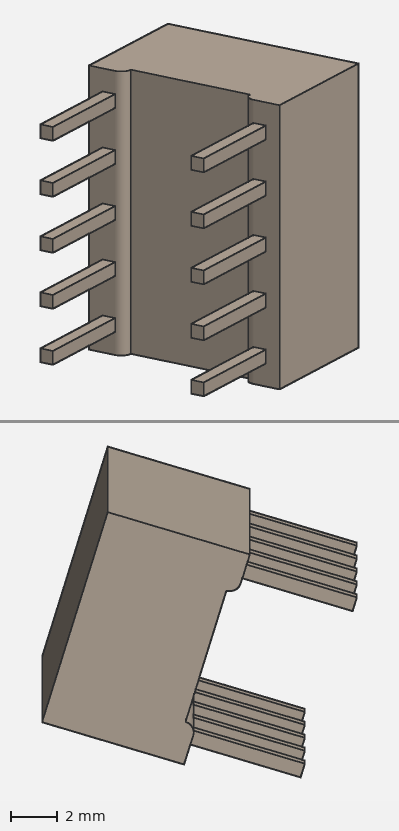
import cadquery as cq

BODY_WIDTH = 9.64
BODY_HEIGHT = 12.9
TOTAL_DEPTH = 11.36

PIN_SIZE = 0.63
PIN_LENGTH = 5.0
PIN_PITCH = 2.54
PINS_PER_ROW = 5
ROW_SPACING = 3 * PIN_PITCH

RECESS_DEPTH = 0.49

body_depth = TOTAL_DEPTH - PIN_LENGTH
half_width = BODY_WIDTH / 2
rail_round_start = (ROW_SPACING - PIN_SIZE) / 2
recess_half_width = rail_round_start - RECESS_DEPTH


def make_body():
    """Block with a shallow full-height recess whose rails have quarter-round inner edges."""
    return (
        cq.Workplane("XY")
        .workplane(offset=-BODY_HEIGHT / 2)
        .moveTo(-half_width, body_depth)
        .lineTo(-half_width, 0)
        .lineTo(-rail_round_start, 0)
        .radiusArc((-recess_half_width, RECESS_DEPTH), -RECESS_DEPTH)
        .lineTo(recess_half_width, RECESS_DEPTH)
        .radiusArc((rail_round_start, 0), -RECESS_DEPTH)
        .lineTo(half_width, 0)
        .lineTo(half_width, body_depth)
        .close()
        .extrude(BODY_HEIGHT)
    )


def make_pins():
    """Two rows of square pins standing on the rail faces and pointing to -Y."""
    return (
        cq.Workplane("XZ")
        .rarray(ROW_SPACING, PIN_PITCH, 2, PINS_PER_ROW)
        .rect(PIN_SIZE, PIN_SIZE)
        .extrude(PIN_LENGTH)
    )


result = make_body().union(make_pins())